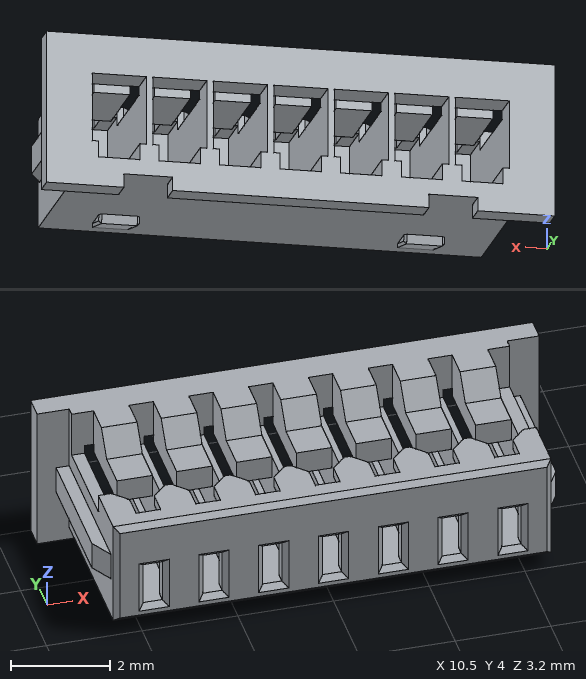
import cadquery as cq


contact_count = 7
pitch = 1.25

flange_width = 10.5
flange_thickness = 0.5
total_depth = 4.0
total_height = 3.2

body_width = 9.16
body_bottom = 0.28
body_top = 2.59
edge_chamfer = 0.12

recess_rear = 0.69
recess_front = 2.75
recess_floor = 2.19

finger_width = 0.75
finger_slope_start = 1.3
finger_slope_end = 1.71
finger_end = 2.5
finger_low_top = 2.7

cavity_width = 1.11
cavity_lower_width = 0.85
cavity_floor = 0.61
cavity_ledge = 0.95
cavity_ceiling = 2.37
front_wall = 0.34

slot_width = 0.51
slot_taper_end = 3.06
slot_end = 3.55
window_width = 0.4
window_height = 0.93
window_chamfer = 0.12

rail_bottom = 1.21
rail_top = 1.81
rail_projection = 0.27
rail_taper_start = 3.25
rail_end = 3.74
rail_overlap = 0.1

latch_spacing = 6.3
latch_width = 0.84
latch_drop = 0.19
latch_lean = 0.04
latch_rear = 2.69
latch_front = 3.6
latch_chamfer = 0.05
latch_overlap = 0.16
flange_gap_width = 1.01

contact_positions = [(i - (contact_count - 1) / 2) * pitch for i in range(contact_count)]
latch_positions = [-latch_spacing / 2, latch_spacing / 2]


def block(width, rear, front, bottom, top, center_x=0.0):
    """Box centred on center_x; rear and front are depths measured from the rear face."""
    return cq.Workplane("XY").box(width, front - rear, top - bottom).translate(
        (center_x, -(rear + front) / 2, (bottom + top) / 2)
    )


def make_shell():
    """Rear flange, chamfered body and the raised strip joining them at the top."""
    flange = block(flange_width, 0, flange_thickness, 0, total_height)
    body = block(body_width, 0, total_depth, body_bottom, body_top).faces("<Y").chamfer(edge_chamfer)
    raised_strip = block(body_width, 0, recess_rear, body_bottom, total_height)
    recess = block(body_width, recess_rear, recess_front, recess_floor, total_height)
    return flange.union(body).union(raised_strip).cut(recess)


def make_rail(side):
    """Side rail that tapers into the body near the front; side is -1 or 1."""
    inner_x = side * (body_width / 2 - rail_overlap)
    wall_x = side * body_width / 2
    outer_x = wall_x + side * rail_projection
    outline = [
        (inner_x, 0),
        (outer_x, 0),
        (outer_x, -rail_taper_start),
        (wall_x, -rail_end),
        (inner_x, -rail_end),
    ]
    rail = cq.Workplane("XY").workplane(offset=rail_bottom).polyline(outline).close()
    return rail.extrude(rail_top - rail_bottom)


def make_cavity(center_x):
    """Stepped contact cavity with its top slot, open at the rear."""
    cavity_end = total_depth - front_wall
    lower = block(cavity_lower_width, 0, cavity_end, cavity_floor, cavity_ceiling, center_x)
    upper = block(cavity_width, 0, cavity_end, cavity_ledge, cavity_ceiling, center_x)
    half_wide = cavity_width / 2
    half_slot = slot_width / 2
    slot_outline = [
        (center_x - half_wide, -recess_front),
        (center_x - half_slot, -slot_taper_end),
        (center_x - half_slot, -slot_end),
        (center_x + half_slot, -slot_end),
        (center_x + half_slot, -slot_taper_end),
        (center_x + half_wide, -recess_front),
    ]
    slot = cq.Workplane("XY").workplane(offset=cavity_ceiling).polyline(slot_outline).close()
    return lower.union(upper).union(slot.extrude(body_top - cavity_ceiling))


def make_window(center_x):
    """Rectangular opening through the front wall with a flared mouth."""
    window_top = cavity_floor + window_height
    opening = block(window_width, recess_front, total_depth, cavity_floor, window_top, center_x)
    mouth = (
        cq.Workplane("XZ", origin=(center_x, -total_depth, cavity_floor + window_height / 2))
        .rect(window_width + 2 * window_chamfer, window_height + 2 * window_chamfer)
        .workplane(offset=-window_chamfer)
        .rect(window_width, window_height)
        .loft(ruled=True)
    )
    return opening.union(mouth)


def make_finger(center_x):
    """Stepped finger reaching forward over one cavity."""
    profile = [
        (-recess_rear, recess_floor),
        (-recess_rear, total_height),
        (-finger_slope_start, total_height),
        (-finger_slope_end, finger_low_top),
        (-finger_end, finger_low_top),
        (-finger_end, recess_floor),
    ]
    finger = cq.Workplane("YZ").polyline(profile).close().extrude(finger_width / 2, both=True)
    return finger.translate((center_x, 0, 0))


def make_latch(center_x):
    """Wedge under the body with a leaning rear face and chamfered slanted edges."""
    profile = [
        (-latch_rear, body_bottom + latch_overlap),
        (-latch_rear, body_bottom),
        (-latch_rear - latch_lean, body_bottom - latch_drop),
        (-latch_front, body_bottom),
        (-latch_front, body_bottom + latch_overlap),
    ]
    wedge = cq.Workplane("YZ").polyline(profile).close().extrude(latch_width / 2, both=True)
    slanted_edges = wedge.edges("not(|X or |Y or |Z)")
    return slanted_edges.chamfer(latch_chamfer).translate((center_x, 0, 0))


result = make_shell().union(make_rail(-1)).union(make_rail(1))
for x in contact_positions:
    result = result.cut(make_cavity(x)).cut(make_window(x))
for x in contact_positions:
    result = result.union(make_finger(x))
for x in latch_positions:
    result = result.cut(block(flange_gap_width, 0, flange_thickness, 0, body_bottom, x))
    result = result.union(make_latch(x))
result = result.clean()